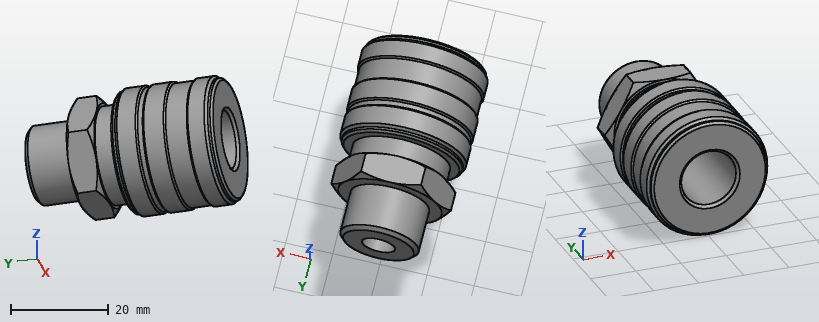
import cadquery as cq
import math

total_length = 42.0
front_y = -total_length / 2

sleeve_length = 22.0
band_radius = 13.4
groove_radius = 13.0
collar_radius = 12.85
sleeve_face_radius = 12.3
edge_bevel = 0.5
collar_length = 1.0
collar_bevel = 0.6
groove_bevel = band_radius - groove_radius
wide_groove_start = 5.12
wide_groove_end = 10.37
narrow_groove_start = 14.6
narrow_groove_end = 16.42

neck_radius = 10.37
hex_start = 26.05
hex_end = 32.0
hex_across_flats = 22.0
hex_bevel_angle = 30.0
spigot_radius = 8.35
spigot_chamfer = 0.85

socket_radius = 6.05
socket_depth = sleeve_length
socket_chamfer = 0.65
through_radius = 3.53


def revolve_profile(outer_points):
    """Revolve (radius, distance from front face) points about the Y axis."""
    start_distance = outer_points[0][1]
    end_distance = outer_points[-1][1]
    points = [(0, start_distance), *outer_points, (0, end_distance)]
    profile = cq.Workplane("XY").polyline(points).close()
    solid = profile.revolve(360, (0, 0, 0), (0, 1, 0))
    return solid.translate((0, front_y, 0))


def groove_points(start, end):
    """Corner points of a groove with 45 degree walls."""
    return [
        (band_radius, start),
        (groove_radius, start + groove_bevel),
        (groove_radius, end - groove_bevel),
        (band_radius, end),
    ]


def make_sleeve():
    front_end = [
        (sleeve_face_radius, 0),
        (collar_radius, edge_bevel),
        (collar_radius, collar_length),
        (band_radius, collar_length + collar_bevel),
    ]
    rear_end = [(radius, sleeve_length - distance) for radius, distance in reversed(front_end)]
    wide_groove = groove_points(wide_groove_start, wide_groove_end)
    narrow_groove = groove_points(narrow_groove_start, narrow_groove_end)
    return revolve_profile(front_end + wide_groove + narrow_groove + rear_end)


def make_neck_and_spigot():
    return revolve_profile([
        (neck_radius, 0),
        (neck_radius, hex_start),
        (spigot_radius, hex_start),
        (spigot_radius, total_length - spigot_chamfer),
        (spigot_radius - spigot_chamfer, total_length),
    ])


def make_hexagon():
    """Hexagon with flats facing up and down and both ends turned to a cone."""
    flat_radius = hex_across_flats / 2
    corner_radius = flat_radius / math.cos(math.radians(30))
    prism = (
        cq.Workplane("XZ", origin=(0, front_y + hex_start, 0))
        .polygon(6, 2 * corner_radius)
        .extrude(-(hex_end - hex_start))
    )
    bevel_depth = (corner_radius - flat_radius) * math.tan(math.radians(hex_bevel_angle))
    turned_blank = revolve_profile([
        (flat_radius, hex_start),
        (corner_radius, hex_start + bevel_depth),
        (corner_radius, hex_end - bevel_depth),
        (flat_radius, hex_end),
    ])
    return prism.intersect(turned_blank)


def make_bore():
    return revolve_profile([
        (socket_radius + socket_chamfer, 0),
        (socket_radius, socket_chamfer),
        (socket_radius, socket_depth),
        (through_radius, socket_depth),
        (through_radius, total_length),
    ])


body = make_sleeve().union(make_neck_and_spigot()).union(make_hexagon())
result = body.cut(make_bore())